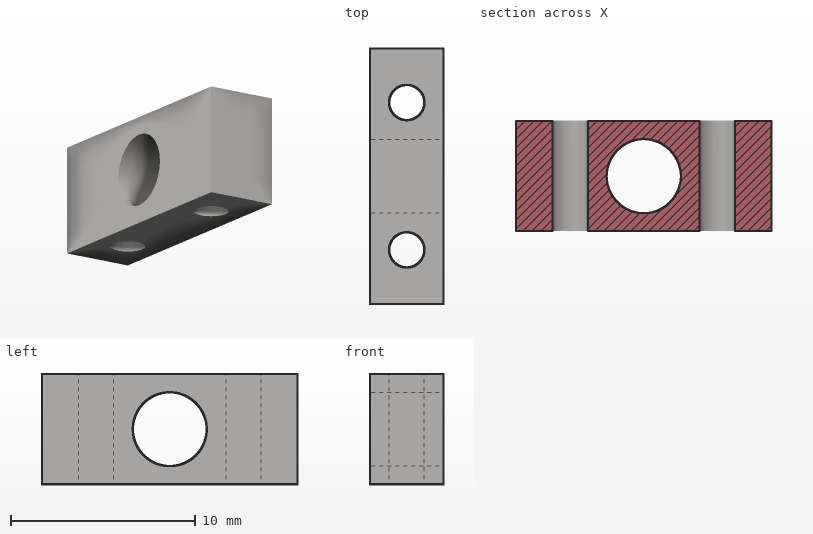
import cadquery as cq

width = 4.0
length = 13.9
height = 6.0

cross_bore_diameter = 4.0
screw_hole_diameter = 1.9
screw_hole_spacing = 8.0

block = cq.Workplane("XY").box(width, length, height)

bored_block = block.faces("<X").workplane(centerOption="CenterOfMass").hole(cross_bore_diameter)

result = (
    bored_block.faces(">Z")
    .workplane(centerOption="CenterOfMass")
    .pushPoints([(0, -screw_hole_spacing / 2), (0, screw_hole_spacing / 2)])
    .hole(screw_hole_diameter)
)